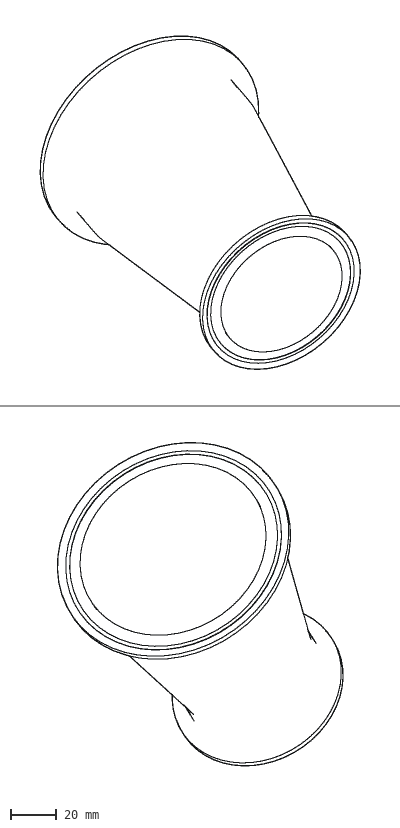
import cadquery as cq
import math

length = 130.0
collar_length = 23.1
wall = 2.0
rim_thickness = 2.9
flange_back_angle = 20.0
neck_fillet = 2.0

large_flange_diameter = 106.0
large_tube_diameter = 89.0
large_groove_diameter = 97.0

small_flange_diameter = 77.5
small_tube_diameter = 63.5
small_groove_diameter = 70.5

groove_depth = 1.5
groove_floor_width = 1.8
groove_lip_fillet = 0.9


def revolve_about_x(profile):
    return profile.close().revolve(360, (0, 0, 0), (1, 0, 0))


def reducer_tube():
    """Straight, conical and straight stretches of constant radial wall."""
    large_radius = large_tube_diameter / 2
    small_radius = small_tube_diameter / 2
    cone_end = length - collar_length
    profile = (
        cq.Workplane("XZ")
        .moveTo(0, large_radius)
        .lineTo(collar_length, large_radius)
        .lineTo(cone_end, small_radius)
        .lineTo(length, small_radius)
        .lineTo(length, small_radius - wall)
        .lineTo(cone_end, small_radius - wall)
        .lineTo(collar_length, large_radius - wall)
        .lineTo(0, large_radius - wall)
    )
    return revolve_about_x(profile)


def flange(flange_diameter, tube_diameter):
    """Flange with its face at X = 0 and a concave fillet running into the tube."""
    rim_radius = flange_diameter / 2
    tube_radius = tube_diameter / 2
    slope = math.radians(flange_back_angle)
    corner_x = rim_thickness + (rim_radius - tube_radius) * math.tan(slope)

    turn = math.pi / 2 - slope
    tangent_length = neck_fillet * math.tan(turn / 2)
    center_x = corner_x + tangent_length
    center_r = tube_radius + neck_fillet

    def fillet_point(angle):
        return center_x - neck_fillet * math.sin(angle), center_r - neck_fillet * math.cos(angle)

    profile = (
        cq.Workplane("XZ")
        .moveTo(0, tube_radius - wall)
        .lineTo(0, rim_radius)
        .lineTo(rim_thickness, rim_radius)
        .lineTo(*fillet_point(turn))
        .threePointArc(fillet_point(turn / 2), (center_x, tube_radius))
        .lineTo(center_x, tube_radius - wall)
    )
    return revolve_about_x(profile)


def gasket_groove(groove_diameter):
    """Cutter for a round-bottomed groove with rounded lips in the face at X = 0."""
    mean_radius = groove_diameter / 2
    half_floor = groove_floor_width / 2
    lip = groove_lip_fillet
    lip_middle = lip * (1 - math.sqrt(0.5))
    inner = mean_radius - half_floor
    outer = mean_radius + half_floor
    profile = (
        cq.Workplane("XZ")
        .moveTo(0, inner - lip)
        .threePointArc((lip_middle, inner - lip_middle), (lip, inner))
        .threePointArc((groove_depth, mean_radius), (lip, outer))
        .threePointArc((lip_middle, outer + lip_middle), (0, outer + lip))
    )
    return revolve_about_x(profile)


def mirror_to_small_end(shape):
    return shape.mirror("YZ").translate((length, 0, 0))


large_flange = flange(large_flange_diameter, large_tube_diameter)
small_flange = mirror_to_small_end(flange(small_flange_diameter, small_tube_diameter))
large_groove = gasket_groove(large_groove_diameter)
small_groove = mirror_to_small_end(gasket_groove(small_groove_diameter))

result = reducer_tube().union(large_flange).union(small_flange).cut(large_groove).cut(small_groove)